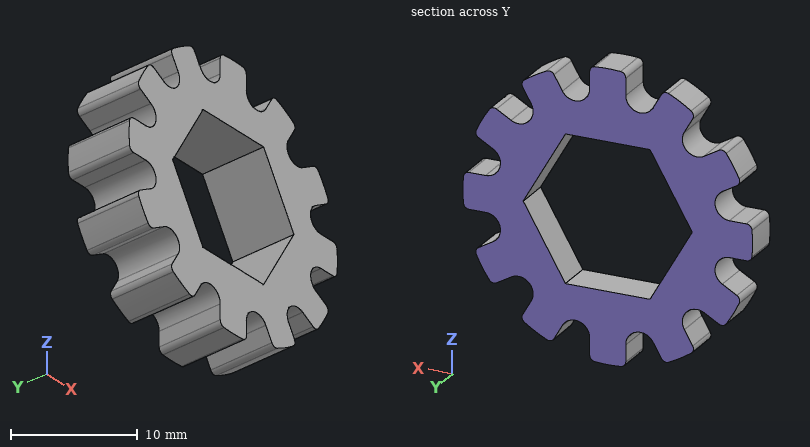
import cadquery as cq
import math

outer_size = 25.4
thickness = 6.35
tooth_count = 12
tooth_width = 3.2
tip_round = 0.5
groove_center_radius = 11.05
hex_sides = 6
hex_across_flats = 12.77

pitch_angle = 360 / tooth_count
half_pitch = math.radians(pitch_angle / 2)
groove_radius = groove_center_radius * math.sin(half_pitch) - tooth_width / 2
hex_across_corners = hex_across_flats / math.cos(math.pi / hex_sides)


def front_plane():
    """Sketch plane facing -Y, centred on the part axis."""
    return cq.Workplane("XZ")


def make_tooth(angle):
    """One tooth with a crowned tip and rounded tip corners, reaching inward to the axis."""
    height = outer_size / 2
    tip_cylinder = front_plane().circle(height).extrude(thickness / 2, both=True)
    return (
        front_plane()
        .center(0, height / 2)
        .rect(tooth_width, height)
        .extrude(thickness / 2, both=True)
        .intersect(tip_cylinder)
        .faces(">Z")
        .edges("|Y")
        .fillet(tip_round)
        .rotate((0, 0, 0), (0, 1, 0), angle)
    )


def make_grooves():
    """Round-bottomed grooves between the teeth."""
    return (
        front_plane()
        .polarArray(groove_center_radius, 90 + pitch_angle / 2, 360, tooth_count)
        .circle(groove_radius)
        .extrude(thickness / 2, both=True)
    )


def make_hub():
    """Polygon through the groove centres; its corners are removed by the grooves."""
    return (
        front_plane()
        .polygon(tooth_count, 2 * groove_center_radius)
        .extrude(thickness / 2, both=True)
        .rotate((0, 0, 0), (0, 1, 0), pitch_angle / 2)
    )


body = make_hub().cut(make_grooves())
for index in range(tooth_count):
    body = body.union(make_tooth(index * pitch_angle))

hex_bore = (
    front_plane()
    .polygon(hex_sides, hex_across_corners)
    .extrude(thickness / 2, both=True)
)
result = body.cut(hex_bore)